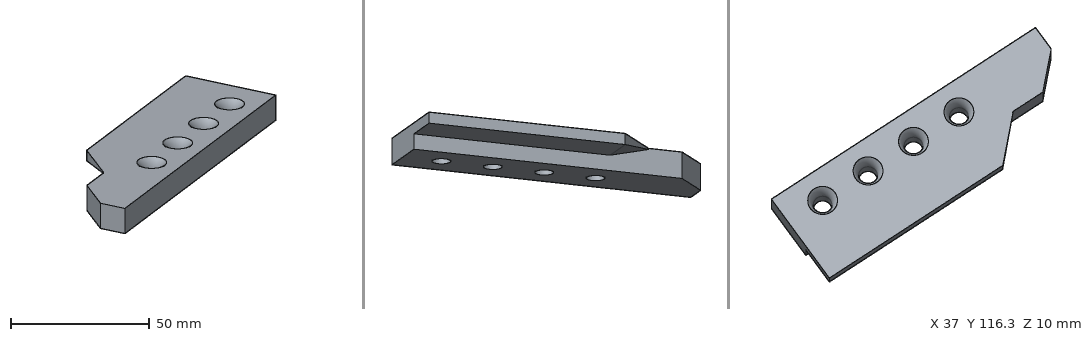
import cadquery as cq
import math

length = 116.32
width = 37.0
thickness = 10.0

lip_width = 15.0
lip_thickness = 4.2
lip_corner_y = 40.0
ramp_slope = 0.25

nose_chamfer = 12.0

hole_count = 4
hole_pitch = 20.0
hole_diameter = 6.8
seat_diameter = 10.8
seat_arc_radius = 7.0
hole_from_right = 11.0
hole_from_back = 15.0

lip_underside = thickness - lip_thickness
lip_root_y = lip_corner_y - lip_width
ramp_end_z = lip_underside + ramp_slope * lip_width


def make_plate():
    """Full-thickness plate with the 45 degree lip end and nose corner."""
    outline = [
        (width, 0),
        (width, length),
        (0, length),
        (0, lip_corner_y),
        (lip_width, lip_root_y),
        (lip_width, nose_chamfer),
        (lip_width + nose_chamfer, 0),
    ]
    return cq.Workplane("XY").polyline(outline).close().extrude(thickness)


def make_lip_relief():
    """Volume under the lip: level, then ramping up towards its front end."""
    profile = [
        (length, 0),
        (length, lip_underside),
        (lip_corner_y, lip_underside),
        (lip_root_y, ramp_end_z),
        (lip_root_y, 0),
    ]
    return cq.Workplane("YZ").polyline(profile).close().extrude(lip_width)


def make_hole_cutter():
    """Through hole on the Z axis whose seat is an arc tangent to the hole wall."""
    hole_radius = hole_diameter / 2
    seat_radius = seat_diameter / 2
    rim_angle = math.acos(1 - (seat_radius - hole_radius) / seat_arc_radius)
    seat_depth = seat_arc_radius * math.sin(rim_angle)
    arc_middle = (
        hole_radius + seat_arc_radius * (1 - math.cos(rim_angle / 2)),
        thickness - seat_depth + seat_arc_radius * math.sin(rim_angle / 2),
    )
    return (
        cq.Workplane("XZ")
        .lineTo(hole_radius, 0)
        .lineTo(hole_radius, thickness - seat_depth)
        .threePointArc(arc_middle, (seat_radius, thickness))
        .lineTo(0, thickness)
        .close()
        .revolve(360, (0, 0, 0), (0, 1, 0))
    )


def drill_holes(body):
    """One row of seated holes parallel to Y."""
    cutter = make_hole_cutter()
    hole_x = width - hole_from_right
    for index in range(hole_count):
        hole_y = length - hole_from_back - index * hole_pitch
        body = body.cut(cutter.translate((hole_x, hole_y, 0)))
    return body


result = drill_holes(make_plate().cut(make_lip_relief()))